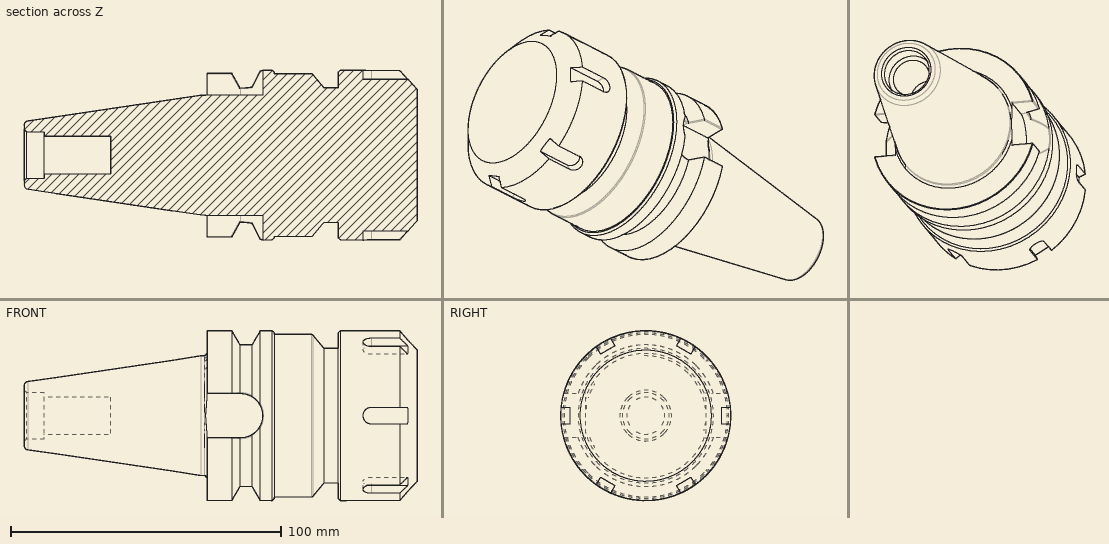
import cadquery as cq
import math

taper_length = 65.4
gauge_plane = 0.0
flange_start = 2.2
collar_end = 27.2
body_end = 41.2
neck_start = 45.5
nut_start = 50.8
nut_cone_start = 73.6
nose_end = 80.1

gauge_diameter = 44.45
flange_diameter = 63.0
groove_diameter = 52.6
body_diameter = 60.33
neck_diameter = 50.0
nut_diameter = 63.0
nose_diameter = 48.6

tip_diameter = 25.0
tip_fillet = 1.6
flange_root_fillet = 0.9
edge_chamfer = 0.8
flange_edge_chamfer = 0.25
body_edge_fillet = 0.65

groove_center = 16.7
groove_floor_half = 2.25
groove_half_angle = 30.0

pilot_diameter = 17.15
pilot_depth = 7.4
pilot_chamfer = 0.9
drill_diameter = 13.84
drill_depth = 32.0

keyway_count = 2
keyway_width = 16.3
keyway_end = 22.9
keyway_floor = 22.35
keyway_rim_fillet = 0.3

spanner_slot_count = 6
spanner_slot_width = 6.15
spanner_slot_start = 60.0
spanner_slot_floor = 28.1


def turned_body():
    """Revolve the outer profile of the holder and its nut about X."""
    groove_depth = (flange_diameter - groove_diameter) / 2
    groove_flare = groove_depth * math.tan(math.radians(groove_half_angle))
    groove_mouth_half = groove_floor_half + groove_flare
    collar_radius = flange_diameter / 2
    nut_radius = nut_diameter / 2
    gauge_radius = gauge_diameter / 2
    fillet_start = (flange_start - flange_root_fillet, gauge_radius)
    fillet_center = (fillet_start[0], gauge_radius + flange_root_fillet)
    fillet_middle = (
        fillet_center[0] + flange_root_fillet * math.sqrt(0.5),
        fillet_center[1] - flange_root_fillet * math.sqrt(0.5),
    )
    profile = (
        cq.Workplane("XY")
        .moveTo(-taper_length, 0)
        .lineTo(-taper_length, tip_diameter / 2)
        .lineTo(gauge_plane, gauge_radius)
        .lineTo(*fillet_start)
        .threePointArc(fillet_middle, (flange_start, fillet_center[1]))
        .lineTo(flange_start, collar_radius - flange_edge_chamfer)
        .lineTo(flange_start + flange_edge_chamfer, collar_radius)
        .lineTo(groove_center - groove_mouth_half, collar_radius)
        .lineTo(groove_center - groove_floor_half, groove_diameter / 2)
        .lineTo(groove_center + groove_floor_half, groove_diameter / 2)
        .lineTo(groove_center + groove_mouth_half, collar_radius)
        .lineTo(collar_end - edge_chamfer, collar_radius)
        .lineTo(collar_end, collar_radius - edge_chamfer)
        .lineTo(collar_end, body_diameter / 2)
        .lineTo(body_end, body_diameter / 2)
        .lineTo(neck_start, neck_diameter / 2)
        .lineTo(nut_start, neck_diameter / 2)
        .lineTo(nut_start, nut_radius - edge_chamfer)
        .lineTo(nut_start + edge_chamfer, nut_radius)
        .lineTo(nut_cone_start, nut_radius)
        .lineTo(nose_end, nose_diameter / 2)
        .lineTo(nose_end, 0)
        .close()
    )
    body = profile.revolve(360, (0, 0, 0), (1, 0, 0))
    body = body.faces("<X").edges().fillet(tip_fillet)
    body_edge = cq.selectors.BoxSelector(
        (body_end - body_edge_fillet, -flange_diameter, -flange_diameter),
        (body_end + body_edge_fillet, flange_diameter, flange_diameter),
    )
    return body.edges("%CIRCLE").edges(body_edge).fillet(body_edge_fillet)


def drawbar_bore():
    """Chamfered pilot bore stepping down to a drilled hole."""
    pilot_radius = pilot_diameter / 2
    pilot_end = pilot_depth - taper_length
    profile = (
        cq.Workplane("XY")
        .moveTo(-taper_length, 0)
        .lineTo(-taper_length, pilot_radius + pilot_chamfer)
        .lineTo(-taper_length + pilot_chamfer, pilot_radius)
        .lineTo(pilot_end, pilot_radius)
        .lineTo(pilot_end, drill_diameter / 2)
        .lineTo(drill_depth - taper_length, drill_diameter / 2)
        .lineTo(drill_depth - taper_length, 0)
        .close()
    )
    return profile.revolve(360, (0, 0, 0), (1, 0, 0))


def round_ended_cutter(round_end, square_end, width, floor):
    """Slot cutter on the -Y side: a half-round at one end, square at the other."""
    radius = width / 2
    direction = math.copysign(1, square_end - round_end)
    round_center = round_end + direction * radius
    return (
        cq.Workplane("XZ", origin=(0, -floor, 0))
        .moveTo(square_end, -radius)
        .lineTo(round_center, -radius)
        .threePointArc((round_end, 0), (round_center, radius))
        .lineTo(square_end, radius)
        .close()
        .extrude(flange_diameter / 2)
    )


def cut_around(body, cutter, count):
    """Cut equally spaced copies of a cutter around the X axis."""
    for index in range(count):
        body = body.cut(cutter.rotate((0, 0, 0), (1, 0, 0), index * 360 / count))
    return body


def round_keyway_rims(body):
    """Round the outer rim of both keyways."""
    for side in (-1, 1):
        near_y, far_y = sorted((side * (keyway_floor + keyway_rim_fillet), side * flange_diameter))
        rim = cq.selectors.BoxSelector(
            (flange_start - keyway_rim_fillet, near_y, -keyway_width / 2 - keyway_rim_fillet),
            (keyway_end + keyway_rim_fillet, far_y, keyway_width / 2 + keyway_rim_fillet),
        )
        body = body.edges(rim).fillet(keyway_rim_fillet)
    return body


keyway = round_ended_cutter(keyway_end, gauge_plane, keyway_width, keyway_floor)
spanner_slot = round_ended_cutter(
    spanner_slot_start, nose_end, spanner_slot_width, spanner_slot_floor
)

holder = turned_body().cut(drawbar_bore())
holder = cut_around(holder, keyway, keyway_count)
holder = round_keyway_rims(holder)
result = cut_around(holder, spanner_slot, spanner_slot_count)